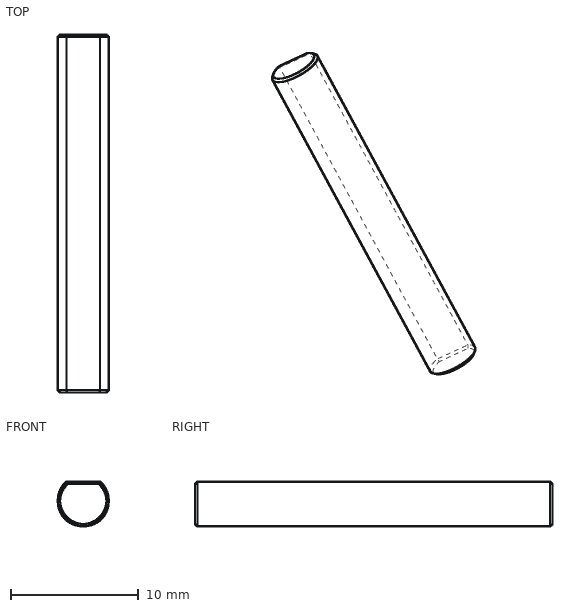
import cadquery as cq

length = 28.0
diameter = 4.0
height_over_flat = 3.5
end_chamfer = 0.2

radius = diameter / 2
flat_z = height_over_flat - radius
half_flat_width = (radius**2 - flat_z**2) ** 0.5

profile = (
    cq.Workplane("XZ")
    .moveTo(-half_flat_width, flat_z)
    .threePointArc((0, -radius), (half_flat_width, flat_z))
    .close()
)
pin = profile.extrude(length / 2, both=True)

result = pin.faces("<Y or >Y").edges().chamfer(end_chamfer)